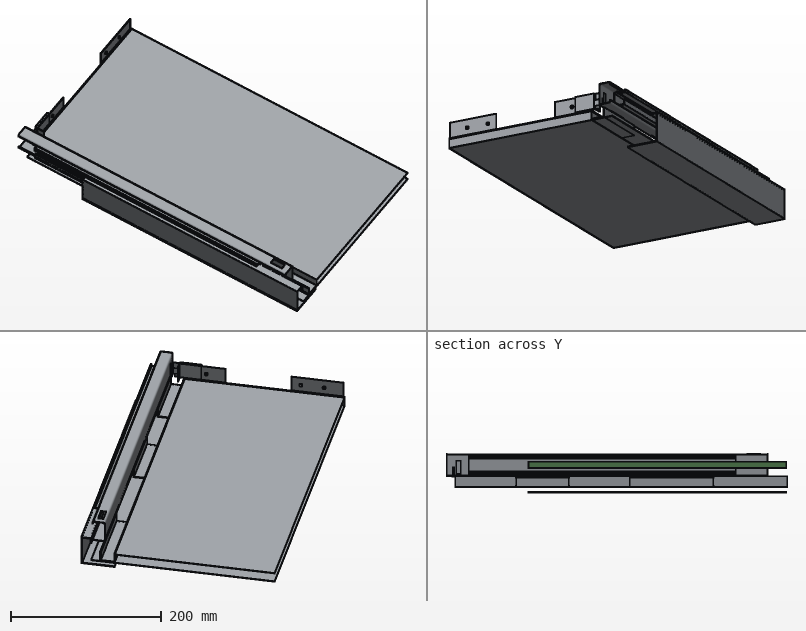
import cadquery as cq
import math


length = 451.5
width = 262.5
height = 52.0
sheet = 1.0
heavy_sheet = 1.5

shelf_front = 11.5
shelf_bottom = 7.0
shelf_top = 21.0
shelf_wall_y = 44.5
shelf_lip_y = 13.5

rail_length = 425.5
rail_y0 = 9.5
rail_y1 = 27.0
rail_bottom = 22.0
rail_lip = 4.0
rail_bend = 2.5
rail_slot_x0 = 398.0
rail_slot_length = 17.5
rail_slot_y0 = 15.5
rail_slot_width = 7.0
rail_mid_y = (rail_y0 + rail_y1) / 2
rail_mid_z = (rail_bottom + height) / 2

slide_x0 = 29.5
slide_length = 354.0
slide_web_y = 20.8
slide_bead_y = 16.5
slide_bead_end_y = 12.0
slide_upper_lip_y = 4.0
slide_lower_lip_y = 5.5
slide_flange_rise = 8.5
slide_web_rise = 9.0
slide_bead_rise = 11.0
slide_upper_lip = 3.5
slide_lower_lip = 7.0

wall_x0 = 108.5
wall_x1 = 450.0
wall_top = 41.5
wall_foot_y = 45.0
wall_flange_y = 13.5
wall_hook_bottom = 33.0

bracket_spans = [(shelf_front, 92.0), (162.0, 243.0), (353.5, length)]

plate_front = 10.5
plate_top = 43.0
left_plate_y0, left_plate_y1 = 190.0, 260.5
right_plate_y0, right_plate_y1 = 38.0, 100.5
return_end_x = 21.5
screw_hole_diameter = 4.0
screw_hole_z = 31.0
left_hole_ys = [202.5, 234.5]
right_hole_y = 74.5

latch_front = 7.0
latch_nose_front = 8.0
latch_pad_y1 = 67.5
tongue_foot_y = 31.5
tongue_shoulder_z = 25.5
tongue_step_z = 34.0
latch_end_y = 28.5
bearing_x0 = 12.5
bearing_x1 = 18.5


def block(x0, x1, y0, y1, z0, z1):
    """Box between two opposite corners."""
    return cq.Workplane("XY").box(x1 - x0, y1 - y0, z1 - z0, centered=False).translate((x0, y0, z0))


def strip_outline(path, thickness):
    """Closed outline of a strip of constant thickness, centred on an open path, with mitred corners."""
    headings = [math.atan2(b[1] - a[1], b[0] - a[0]) for a, b in zip(path, path[1:])]
    left, right = [], []
    for i, (y, z) in enumerate(path):
        before = headings[max(i - 1, 0)]
        after = headings[min(i, len(headings) - 1)]
        turn = math.remainder(after - before, 2 * math.pi)
        normal = before + turn / 2 + math.pi / 2
        reach = thickness / 2 / math.cos(turn / 2)
        dy = reach * math.cos(normal)
        dz = reach * math.sin(normal)
        left.append((y + dy, z + dz))
        right.append((y - dy, z - dz))
    return left + right[::-1]


def make_shelf():
    """Folded pan, open on its far side, whose base plate runs on under the slide."""
    top = block(shelf_front, length, shelf_wall_y, width, shelf_top - sheet, shelf_top)
    base = block(shelf_front, length, shelf_lip_y, width, shelf_bottom, shelf_bottom + sheet)
    wall = block(shelf_front, length, shelf_wall_y, shelf_wall_y + sheet, shelf_bottom, shelf_top)
    front = block(shelf_front, shelf_front + sheet, shelf_wall_y, width, shelf_bottom, shelf_top)
    return top.union(base).union(wall).union(front).clean()


def make_angle_bracket(x0, x1):
    """L-shaped bracket standing on the shelf base, with its web under the web of the rail."""
    bottom = shelf_bottom + sheet
    flange = block(x0, x1, rail_y1 - heavy_sheet, shelf_wall_y, bottom, bottom + heavy_sheet)
    web = block(x0, x1, rail_y1 - heavy_sheet, rail_y1, bottom, rail_bottom)
    return flange.union(web).clean()


def make_rail():
    """C section opening towards the wall; square only where the angle brackets butt under its web."""
    outer = block(0, rail_length, rail_y0, rail_y1, rail_bottom, height)
    outer = outer.edges("|X and (<Y or >Z)").fillet(rail_bend)
    inner = block(0, rail_length, rail_y0 + sheet, rail_y1 - sheet, rail_bottom + sheet, height - sheet)
    inner = inner.edges("|X").fillet(rail_bend - sheet)
    mouth = block(0, rail_length, rail_y0, rail_mid_y, rail_bottom + rail_lip, height - rail_lip)
    slot = block(
        rail_slot_x0, rail_slot_x0 + rail_slot_length,
        rail_slot_y0, rail_slot_y0 + rail_slot_width,
        height - sheet, height,
    )
    return outer.cut(inner).cut(mouth).cut(slot)


def make_middle_slide():
    """Strip bent round two bead grooves, with one lip turned up on each flange."""
    upper_flange = rail_mid_z + slide_flange_rise
    lower_flange = rail_mid_z - slide_flange_rise
    path = [
        (slide_upper_lip_y, upper_flange + slide_upper_lip),
        (slide_upper_lip_y, upper_flange),
        (slide_bead_end_y, upper_flange),
        (slide_bead_y, rail_mid_z + slide_bead_rise),
        (slide_web_y, rail_mid_z + slide_web_rise),
        (slide_web_y, rail_mid_z - slide_web_rise),
        (slide_bead_y, rail_mid_z - slide_bead_rise),
        (slide_bead_end_y, lower_flange),
        (slide_lower_lip_y, lower_flange),
        (slide_lower_lip_y, lower_flange + slide_lower_lip),
    ]
    profile = cq.Workplane("YZ", origin=(slide_x0, 0, 0)).polyline(strip_outline(path, heavy_sheet)).close()
    return profile.extrude(slide_length)


def make_wall_bracket():
    """Upright web with a foot under the shelf and a hooked flange inside the middle slide."""
    web = block(wall_x0, wall_x1, 0, heavy_sheet, 0, wall_top)
    foot = block(wall_x0, wall_x1, 0, wall_foot_y, 0, heavy_sheet)
    flange = block(wall_x0, wall_x1, 0, wall_flange_y, wall_top - heavy_sheet, wall_top)
    hook = block(wall_x0, wall_x1, wall_flange_y - heavy_sheet, wall_flange_y, wall_hook_bottom, wall_top)
    return web.union(foot).union(flange).union(hook).clean()


def screw_holes(ys):
    """Cutters for the holes through the front plates."""
    start = cq.Workplane("YZ", origin=(plate_front, 0, 0))
    return start.pushPoints([(y, screw_hole_z) for y in ys]).circle(screw_hole_diameter / 2).extrude(sheet)


def make_left_plate():
    """Front plate standing on the far corner of the shelf."""
    back = plate_front + sheet
    plate = block(plate_front, back, left_plate_y0, left_plate_y1, shelf_top, plate_top)
    return plate.cut(screw_holes(left_hole_ys))


def make_right_plate():
    """Front plate beside the rail, with its end folded back along X."""
    back = plate_front + sheet
    plate = block(plate_front, back, right_plate_y0, right_plate_y1, shelf_top, plate_top)
    fold = block(plate_front, return_end_x, right_plate_y0, right_plate_y0 + sheet, shelf_top, plate_top)
    return plate.union(fold).clean().cut(screw_holes([right_hole_y]))


def make_latch():
    """Pad on the right plate, a stepped tongue reaching the rail, and a returned end against its web."""
    tongue_front = plate_front - sheet
    end_back_y = latch_end_y + sheet
    pad_y0 = right_plate_y0 + sheet
    pad = block(latch_front, plate_front, pad_y0, latch_pad_y1, shelf_top, plate_top)
    foot = block(tongue_front, plate_front, tongue_foot_y, pad_y0, shelf_top, tongue_shoulder_z)
    nose = block(latch_nose_front, plate_front, rail_y1, pad_y0, tongue_shoulder_z, tongue_step_z)
    shoulder = block(tongue_front, plate_front, latch_end_y, pad_y0, tongue_step_z, plate_top)
    end = block(tongue_front, bearing_x1, latch_end_y, end_back_y, tongue_shoulder_z, plate_top)
    bearing = block(bearing_x0, bearing_x1, rail_y1, end_back_y, tongue_shoulder_z, plate_top)
    return pad.union(foot).union(nose).union(shoulder).union(end).union(bearing).clean()


shelf = make_shelf()
rail = make_rail()
middle_slide = make_middle_slide()
wall_bracket = make_wall_bracket()
left_plate = make_left_plate()
right_plate = make_right_plate()
latch = make_latch()
angle_brackets = []
for span_start, span_end in bracket_spans:
    angle_brackets.append(make_angle_bracket(span_start, span_end).val())

result = cq.Compound.makeCompound([
    shelf.val(),
    rail.val(),
    middle_slide.val(),
    wall_bracket.val(),
    left_plate.val(),
    right_plate.val(),
    latch.val(),
    *angle_brackets,
])